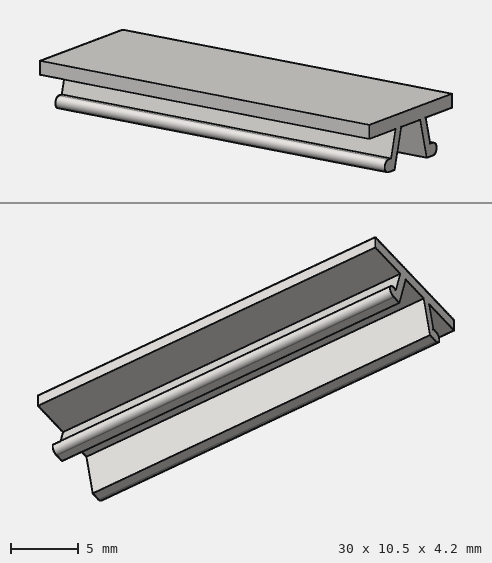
import cadquery as cq
import math

length = 30.0
width = 10.5
height = 4.2
plate_thickness = 1.08

leg_angle = 15.0
leg_inner_root = 1.2
leg_outer_root = 1.92

foot_height = 1.0
foot_reach = 3.3

foot_radius = foot_height / 2
foot_centre = foot_reach - foot_radius
plate_bottom = height - plate_thickness
splay = math.tan(math.radians(leg_angle))
leg_inner_end = leg_inner_root + plate_bottom * splay
leg_outer_end = leg_outer_root + (plate_bottom - foot_height) * splay


def make_plate():
    """Flat rectangular plate centred on the X and Y axes."""
    return (
        cq.Workplane("XY")
        .workplane(offset=plate_bottom)
        .rect(length, width)
        .extrude(plate_thickness)
    )


def make_leg():
    """Full-length leg on the +Y side, leaning outward to a half-round hook."""
    overlap = plate_thickness / 2
    return (
        cq.Workplane("YZ")
        .moveTo(leg_inner_root, plate_bottom + overlap)
        .lineTo(leg_inner_root, plate_bottom)
        .lineTo(leg_inner_end, 0)
        .lineTo(foot_centre, 0)
        .threePointArc((foot_reach, foot_radius), (foot_centre, foot_height))
        .lineTo(leg_outer_end, foot_height)
        .lineTo(leg_outer_root, plate_bottom)
        .lineTo(leg_outer_root, plate_bottom + overlap)
        .close()
        .extrude(length / 2, both=True)
    )


leg = make_leg()
result = make_plate().union(leg).union(leg.mirror("XZ"))